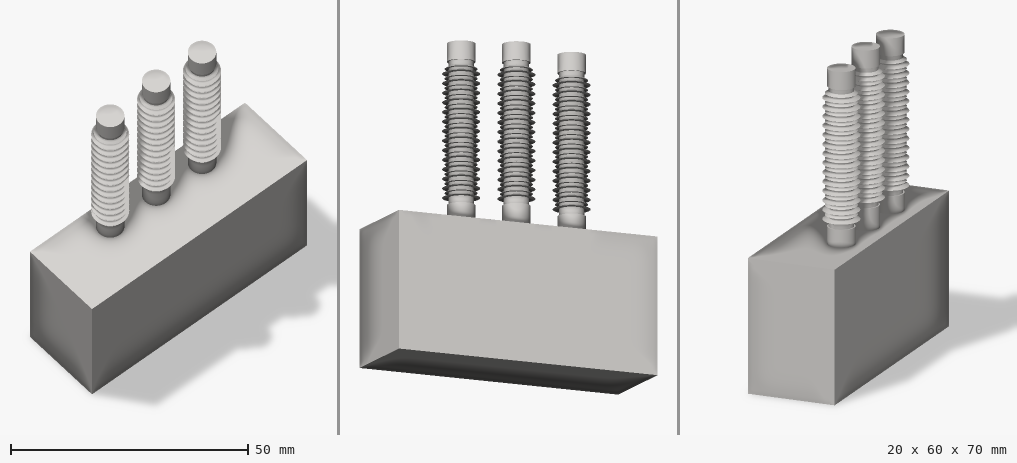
import cadquery as cq

BASE_WIDTH = 20.0
BASE_LENGTH = 60.0
TOTAL_HEIGHT = 70.0
BUSHING_HEIGHT = 40.0
BASE_HEIGHT = TOTAL_HEIGHT - BUSHING_HEIGHT

BUSHING_SPACING = 12.8
BUSHING_EDGE_DISTANCE = 6.0
BUSHING_X = BUSHING_EDGE_DISTANCE - BASE_WIDTH / 2
OUTER_SINK = 1.05

COLLAR_DIAMETER = 6.0
CORE_DIAMETER = 5.4
TOP_COLLAR_HEIGHT = 4.0
FOOT_COLLAR_HEIGHT = 5.0

LARGE_SHED_DIAMETER = 8.05
SMALL_SHED_DIAMETER = 7.0
SHED_COUNT = 28
END_MARGIN = 1.5
CORE_HEIGHT = BUSHING_HEIGHT - TOP_COLLAR_HEIGHT - FOOT_COLLAR_HEIGHT
SHED_PITCH = CORE_HEIGHT / (SHED_COUNT - 1 + 2 * END_MARGIN)
SHED_HEIGHT = SHED_PITCH / 2


def make_base():
    """Rectangular block on Z = 0, with a round recess for each outer bushing."""
    block = cq.Workplane("XY").box(BASE_WIDTH, BASE_LENGTH, BASE_HEIGHT, centered=(True, True, False))
    recess_centers = [(BUSHING_X, -BUSHING_SPACING), (BUSHING_X, BUSHING_SPACING)]
    recess_plane = cq.Workplane("XY", origin=(0, 0, BASE_HEIGHT - OUTER_SINK))
    recesses = recess_plane.pushPoints(recess_centers).circle(COLLAR_DIAMETER / 2).extrude(OUTER_SINK)
    return block.cut(recesses)


def bushing_profile():
    """Half outline (radius, height) of a bushing, from its foot to its top."""
    core_radius = CORE_DIAMETER / 2
    collar_radius = COLLAR_DIAMETER / 2
    core_bottom = FOOT_COLLAR_HEIGHT
    core_top = BUSHING_HEIGHT - TOP_COLLAR_HEIGHT

    points = [(0, 0), (collar_radius, 0), (collar_radius, core_bottom), (core_radius, core_bottom)]
    for index in range(SHED_COUNT):
        shed_diameter = LARGE_SHED_DIAMETER if index % 2 == 0 else SMALL_SHED_DIAMETER
        shed_radius = shed_diameter / 2
        underside = core_bottom + (index + END_MARGIN) * SHED_PITCH
        points += [
            (core_radius, underside),
            (shed_radius, underside),
            (core_radius, underside + SHED_HEIGHT),
        ]
    points += [
        (core_radius, core_top),
        (collar_radius, core_top),
        (collar_radius, BUSHING_HEIGHT),
        (0, BUSHING_HEIGHT),
    ]
    return points


def make_bushing(y, foot_z):
    """Ribbed bushing with a vertical axis, its foot at height foot_z."""
    profile = cq.Workplane("XZ").polyline(bushing_profile()).close()
    bushing = profile.revolve(360, (0, 0, 0), (0, 1, 0))
    return bushing.translate((BUSHING_X, y, foot_z))


base = make_base()

bushings = []
for position in (-1, 0, 1):
    sink = OUTER_SINK * abs(position)
    bushings.append(make_bushing(position * BUSHING_SPACING, BASE_HEIGHT - sink))

result = cq.Compound.makeCompound([base.val(), *[bushing.val() for bushing in bushings]])